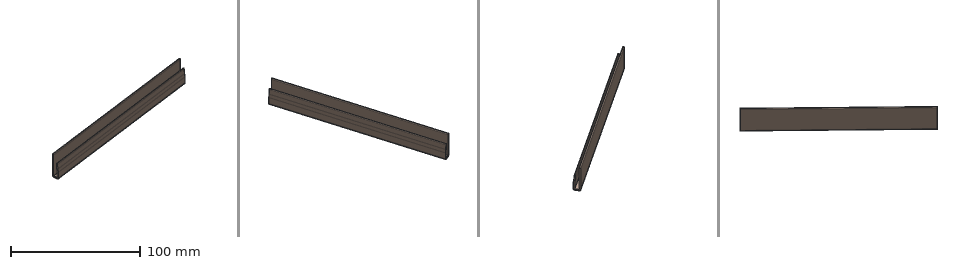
import cadquery as cq

length = 152.4
width = 6.1
height = 22.7

wall = 1.4
bend_radius = 1.4
wall_tip_radius = wall / 2

lip_height = 15.2
lip_inner = width - wall
inner_lean_start = 7.8
inner_lean_end = 11.7
inner_lean = 0.6
outer_lean_start = 7.3
outer_lean_end = 10.4
outer_lean = 0.5
tip_inner = 4.1
tip_width = 1.0
tip_radius = tip_width / 2


def clip_section():
    """Closed J outline in the XZ plane, with its lower left corner at the origin."""
    return (
        cq.Workplane("XZ")
        .moveTo(bend_radius, 0)
        .lineTo(width - bend_radius, 0)
        .radiusArc((width, bend_radius), -bend_radius)
        .lineTo(width, outer_lean_start)
        .lineTo(width - outer_lean, outer_lean_end)
        .lineTo(tip_inner + tip_width, lip_height - tip_radius)
        .threePointArc((tip_inner + tip_radius, lip_height), (tip_inner, lip_height - tip_radius))
        .lineTo(lip_inner - inner_lean, inner_lean_end)
        .lineTo(lip_inner, inner_lean_start)
        .lineTo(lip_inner, wall)
        .lineTo(wall, wall)
        .lineTo(wall, height - wall_tip_radius)
        .threePointArc((wall / 2, height), (0, height - wall_tip_radius))
        .lineTo(0, bend_radius)
        .radiusArc((bend_radius, 0), -bend_radius)
        .close()
    )


result = clip_section().extrude(length / 2, both=True)